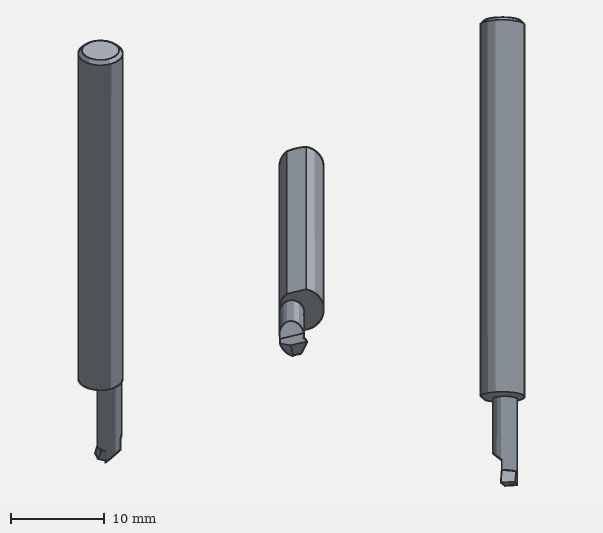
import cadquery as cq
import math

total_length = 50.8
shank_radius = 2.4
flat_offset = 2.15
shank_bottom = 9.55
chamfer_width = 0.4
chamfer_height = 0.4

neck_radius = 1.3
neck_overlap = 0.5
neck_x = shank_radius - neck_radius

relief_bottom = 2.6
relief_top = 3.65

tip_height = 1.45
tip_x = -0.65
tip_top_x = neck_x - neck_radius
tip_inner_x = 1.2
tip_inner_bottom = 0.05
flank_run = 1.0
end_rise = 0.25
corner_top = 1.25
tip_depth = math.sqrt(neck_radius**2 - (tip_inner_x - neck_x)**2)
clear = 5.1


def prism_along_x(points):
    """Extrude a YZ outline across the full width of the part."""
    return cq.Workplane("YZ").polyline(points).close().extrude(clear, both=True)


def make_shank():
    half_profile = [
        (0, shank_bottom),
        (shank_radius, shank_bottom),
        (shank_radius, total_length - chamfer_height),
        (shank_radius - chamfer_width, total_length),
        (0, total_length),
    ]
    bar = cq.Workplane("XZ").polyline(half_profile).close().revolve(360, (0, 0, 0), (0, 1, 0))
    flat = prism_along_x([
        (flat_offset, 0),
        (clear, 0),
        (clear, total_length),
        (flat_offset, total_length),
    ])
    return bar.cut(flat)


def make_neck():
    neck = cq.Workplane("XY").center(neck_x, 0).circle(neck_radius).extrude(shank_bottom + neck_overlap)
    relief_slope = (relief_top - relief_bottom) / neck_radius
    relief = prism_along_x([
        (0, 0),
        (0, relief_bottom),
        (clear, relief_bottom + relief_slope * clear),
        (clear, 0),
    ])
    tip_space = (
        cq.Workplane("XY")
        .box(clear, 2 * clear, tip_height, centered=(False, True, False))
        .translate((tip_inner_x - clear, 0, 0))
    )
    bevel = (
        cq.Workplane("XZ")
        .polyline([
            (tip_inner_x, 0),
            (tip_inner_x, tip_inner_bottom),
            (shank_radius, corner_top),
            (shank_radius, 0),
        ])
        .close()
        .extrude(clear, both=True)
    )
    return neck.cut(relief).cut(tip_space).cut(bevel)


def tip_outline(run, rise):
    """XZ outline of the tip, with its flank and end face set back."""
    return [
        (tip_x + run, rise),
        (tip_inner_x, tip_inner_bottom + rise),
        (tip_inner_x, tip_height),
        (tip_top_x + run, tip_height),
    ]


def make_tip():
    return (
        cq.Workplane("XZ")
        .polyline(tip_outline(0, 0))
        .close()
        .workplane(offset=tip_depth)
        .polyline(tip_outline(flank_run, end_rise))
        .close()
        .loft(ruled=True)
    )


result = make_shank().union(make_neck()).union(make_tip())